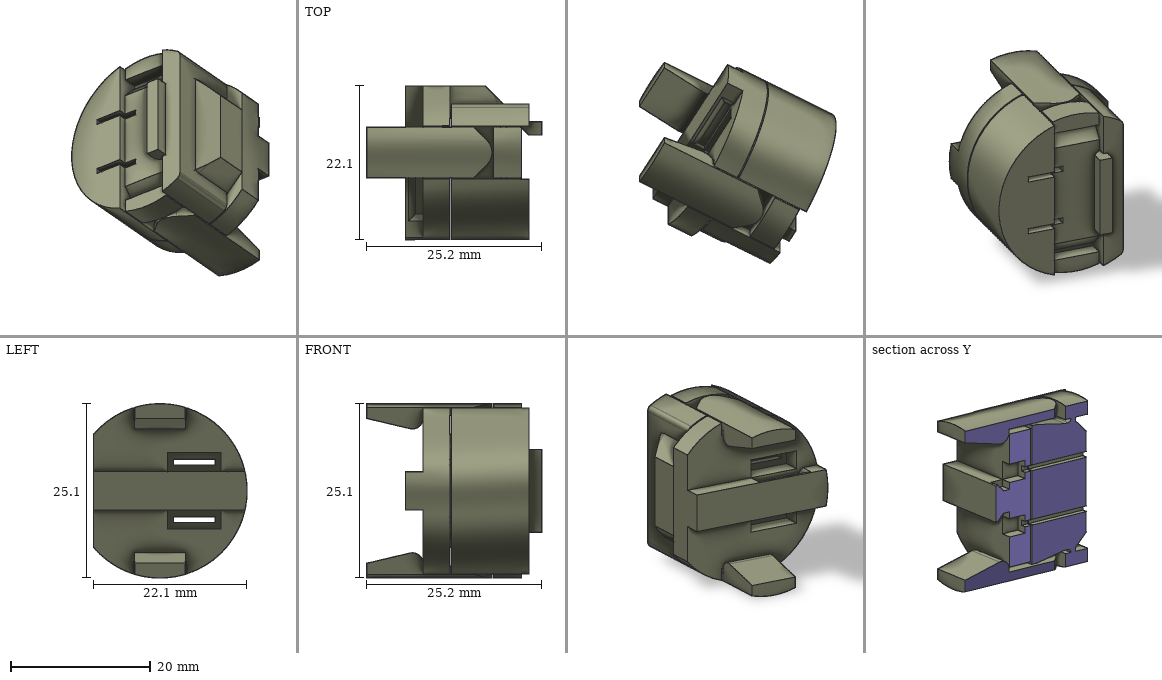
import cadquery as cq
import math

outer_radius = 12.55
flat_y = 9.58
total_length = 25.2
gap = 0.2

bar_front = 5.57
cap_front = 8.1
cap_rear = 11.97
housing_front = cap_rear + gap
housing_rear = 23.35

latch_half_width = 3.65
grip_end_z = 10.4
grip_nose_radius = 1.5
arm_bottom_z = 10.8
arm_tip_x = 18.02
tip_radius = 2.55

bar_half_height = 2.77
notch_half_width = 3.83
notch_floor_z = 10.13
blade_y = -4.96
blade_z = 4.13
blade_slot_width = 5.97
blade_slot_height = 0.8
pocket_width = 7.69
pocket_height = 2.72
pocket_depth = 2.8
bar_recess_depth = 1.03
bar_recess_reach = 2.07
cross_slot_depth = 1.08
cross_slot_y = (3.65, 4.86)
cross_slot_half_height = 10.33

ledge_z = 10.55
ledge_rear = 13.1
ramp_rear = 18.07
channel_floor_z = 9.65
slope_front = 20.1
slope_rear = 22.1
housing_flat_y = 6.98
housing_edge_radius = 1.0
tab_front = 18.27
tab_rear = 22.3
stem_front = 19.23
stem_fillet = 0.5
tab_underside_z = channel_floor_z + stem_fillet

slider_inner_y = 4.86
slider_bend_x = 17.05
prong_outer_y = 4.44
prong_inner_y = 2.5
prong_bend_x = 23.3
prong_half_height = 5.97
shoulder_inner_y = 5.85
shoulder_outer_y = 6.65
shoulder_z = 8.16
taper_point = (18.32, 8.32, 6.5)
taper_normal = (0.15, 0.72, 0.66)


def block(x_range, y_range, z_range):
    """Box between two limits on each axis."""
    return cq.Workplane("XY").box(
        x_range[1] - x_range[0],
        y_range[1] - y_range[0],
        z_range[1] - z_range[0],
        centered=False,
    ).translate((x_range[0], y_range[0], z_range[0]))


def envelope(x_start, x_end, y_limit=outer_radius):
    """Length of the outer cylinder, cut off at y_limit on the +Y side."""
    cylinder = cq.Workplane("YZ").circle(outer_radius).extrude(x_end - x_start).translate((x_start, 0, 0))
    span = (-outer_radius, outer_radius)
    return cylinder.intersect(block((x_start, x_end), (-outer_radius, y_limit), span))


def side_profile(points, half_width):
    """Closed X-Z outline extruded symmetrically about the plane Y = 0."""
    return cq.Workplane("XZ").polyline(points).close().extrude(half_width, both=True)


def both_sides(upper):
    """An upper feature and its mirror image below, as two shapes."""
    return [upper, upper.mirror("XY")]


def blade_slot():
    """Upper slot for a flat blade, running the whole length of the part."""
    y_range = (blade_y - blade_slot_width / 2, blade_y + blade_slot_width / 2)
    z_range = (blade_z - blade_slot_height / 2, blade_z + blade_slot_height / 2)
    return block((0, total_length), y_range, z_range)


def blade_pocket():
    """Upper pocket around the blade slot, sunk into the front face of the cap."""
    y_range = (blade_y - pocket_width / 2, blade_y + pocket_width / 2)
    z_range = (blade_z - pocket_height / 2, blade_z + pocket_height / 2)
    return block((cap_front, cap_front + pocket_depth), y_range, z_range)


def bar_recess():
    """Upper recess in the bar ahead of the pocket, with 45 degree walls towards -X and -Y."""
    y_low = blade_y - pocket_width / 2
    y_high = blade_y + pocket_width / 2
    x_low = cap_front - bar_recess_reach
    y_outer = y_low - bar_recess_depth
    mouth = bar_half_height
    bottom = mouth - bar_recess_depth
    recess = block((x_low, cap_front), (y_outer, y_high), (bottom, mouth))
    front_wall = side_profile(
        [(x_low, mouth), (x_low, bottom), (x_low + bar_recess_depth, bottom)], outer_radius
    )
    side_wall = (
        cq.Workplane("YZ")
        .polyline([(y_outer, mouth), (y_outer, bottom), (y_low, bottom)])
        .close()
        .extrude(total_length)
    )
    return recess.cut(front_wall).cut(side_wall)


def make_cap():
    """Front disc with a cross bar, latch notches and blade pockets."""
    disc = envelope(cap_front, cap_rear, flat_y)
    bar = envelope(bar_front, cap_front, flat_y).intersect(
        block(
            (bar_front, cap_front),
            (-outer_radius, flat_y),
            (-bar_half_height, bar_half_height),
        )
    )
    body = disc.union(bar)
    notch = block(
        (cap_front, cap_rear), (-notch_half_width, notch_half_width), (notch_floor_z, outer_radius)
    )
    for feature in (notch, blade_pocket(), bar_recess(), blade_slot()):
        for copy in both_sides(feature):
            body = body.cut(copy)
    cross_slot = block(
        (cap_rear - cross_slot_depth, cap_rear),
        cross_slot_y,
        (-cross_slot_half_height, cross_slot_half_height),
    )
    return body.cut(cross_slot)


def make_latch():
    """Upper latch: wedge grip with a rounded nose, and an arm ending in a rounded point."""
    nose_x = cap_front - grip_nose_radius
    tangent = math.asin(grip_nose_radius / nose_x)
    wedge_end = (
        nose_x - grip_nose_radius * math.sin(tangent),
        grip_end_z - grip_nose_radius * math.cos(tangent),
    )
    middle = (math.pi / 2 - tangent) / 2
    nose_middle = (
        nose_x + grip_nose_radius * math.sin(middle),
        grip_end_z - grip_nose_radius * math.cos(middle),
    )
    side = (
        cq.Workplane("XZ")
        .moveTo(0, outer_radius)
        .lineTo(0, grip_end_z)
        .lineTo(*wedge_end)
        .threePointArc(nose_middle, (cap_front, grip_end_z))
        .lineTo(cap_front, arm_bottom_z)
        .lineTo(arm_tip_x, arm_bottom_z)
        .lineTo(arm_tip_x, outer_radius)
        .close()
        .extrude(latch_half_width, both=True)
    )
    point_x = arm_tip_x + tip_radius * (math.sqrt(2) - 1)
    rounding_x = point_x - tip_radius / math.sqrt(2)
    rounding_y = tip_radius / math.sqrt(2)
    outline = (
        cq.Workplane("XY")
        .moveTo(0, -latch_half_width)
        .lineTo(point_x - latch_half_width, -latch_half_width)
        .lineTo(rounding_x, -rounding_y)
        .threePointArc((arm_tip_x, 0), (rounding_x, rounding_y))
        .lineTo(point_x - latch_half_width, latch_half_width)
        .lineTo(0, latch_half_width)
        .close()
        .extrude(outer_radius)
    )
    return side.intersect(outline).intersect(envelope(0, arm_tip_x))


def make_slider():
    """Block behind the cap whose rear bends at 45 degrees into a flat prong."""
    bend_run = flat_y - prong_outer_y
    plan = (
        cq.Workplane("XY")
        .polyline(
            [
                (cap_rear, flat_y),
                (slider_bend_x, flat_y),
                (slider_bend_x + bend_run, prong_outer_y),
                (total_length, prong_outer_y),
                (total_length, prong_inner_y),
                (prong_bend_x, prong_inner_y),
                (prong_bend_x - (slider_inner_y - prong_inner_y), slider_inner_y),
                (cap_rear, slider_inner_y),
            ]
        )
        .close()
        .extrude(outer_radius, both=True)
    )
    lower_shoulder_z = prong_half_height + shoulder_inner_y - slider_inner_y
    flat_edge_z = shoulder_z - (flat_y - shoulder_outer_y)
    upper_section = [
        (prong_inner_y, prong_half_height),
        (slider_inner_y, prong_half_height),
        (shoulder_inner_y, lower_shoulder_z),
        (shoulder_inner_y, shoulder_z),
        (shoulder_outer_y, shoulder_z),
        (flat_y, flat_edge_z),
    ]
    lower_section = [(y, -z) for y, z in reversed(upper_section)]
    section = cq.Workplane("YZ").polyline(upper_section + lower_section).close().extrude(total_length)
    taper_x_direction = (taper_normal[2], 0, -taper_normal[0])
    taper_plane = cq.Plane(origin=taper_point, xDir=taper_x_direction, normal=taper_normal)
    taper = cq.Workplane(taper_plane).rect(total_length, total_length).extrude(outer_radius)
    body = plan.intersect(section)
    for copy in both_sides(taper):
        body = body.cut(copy)
    return body


def latch_channel():
    """Upper channel of the housing: a ledge, a falling ramp, a flat floor and a rear slope."""
    slope_end_z = channel_floor_z - (slope_rear - slope_front)
    profile = [
        (housing_front, outer_radius),
        (housing_front, ledge_z),
        (ledge_rear, ledge_z),
        (ramp_rear, channel_floor_z),
        (slope_front, channel_floor_z),
        (slope_rear, slope_end_z),
        (slope_rear, 0),
        (housing_rear, 0),
        (housing_rear, outer_radius),
    ]
    return side_profile(profile, notch_half_width)


def housing_tab():
    """Upper tab standing in the channel on a thin stem with a rounded foot."""
    foot_x = stem_front - stem_fillet
    bow = stem_fillet * math.sqrt(0.5)
    profile = (
        cq.Workplane("XZ")
        .moveTo(foot_x, channel_floor_z)
        .threePointArc((foot_x + bow, tab_underside_z - bow), (stem_front, tab_underside_z))
        .lineTo(tab_front, tab_underside_z)
        .lineTo(tab_front, outer_radius)
        .lineTo(tab_rear, outer_radius)
        .lineTo(tab_rear, tab_underside_z)
        .lineTo(slope_front, tab_underside_z)
        .lineTo(slope_front, channel_floor_z)
        .close()
        .extrude(latch_half_width, both=True)
    )
    return profile.intersect(envelope(tab_front, tab_rear))


def make_housing(slider):
    """Rear drum with latch channels, tabs, blade slots and a passage for the slider."""
    body = envelope(housing_front, housing_rear, housing_flat_y)
    body = body.faces(">Y").edges("|X").fillet(housing_edge_radius)
    for copy in both_sides(latch_channel()):
        body = body.cut(copy)
    for copy in both_sides(housing_tab()):
        body = body.union(copy)
    for copy in both_sides(blade_slot()):
        body = body.cut(copy)
    return body.cut(slider)


cap = make_cap()
latches = both_sides(make_latch())
slider = make_slider()
housing = make_housing(slider)

result = cq.Compound.makeCompound(
    [
        cap.solids().val(),
        *[latch.solids().val() for latch in latches],
        slider.solids().val(),
        housing.solids().val(),
    ]
)